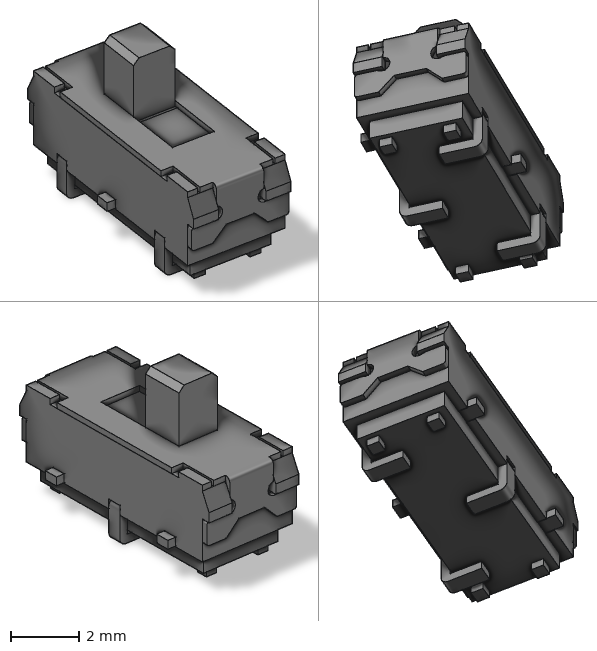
import cadquery as cq
import math


housing_length = 7.9
housing_width = 3.5
housing_bottom = 1.05
top_level = 3.65
wall = 0.3

sheet = 0.2
cover_wide_length = 5.15
cover_narrow_width = 2.62
window_length = 3.5
window_width = 1.5
flap_neck_width = 1.7
flap_shoulder = 2.47
flap_bottom = 1.66
flap_corner_radius = 0.1
relief_radius = 0.24
relief_y = 0.88
relief_level = 2.66
flap_notch_top_width = 1.0
flap_notch_height = 0.49

pad_length = 1.07
pad_width = 0.36
lug_reach = 0.3
lug_slope_bottom = 2.85
lug_bottom = 2.5

slider_size = 1.5
slider_top = 5.65
slider_chamfer = 0.2
foot_margin = 0.1
foot_height = 0.5

base_bottom = 0.43
base_cover_over_terminals = 0.3
stud_size = 0.4
stud_bottom = 0.15
stud_x = 3.3
stud_y = 1.0

terminal_pitch = 2.5
terminal_width = 0.5
terminal_thickness = 0.3
terminal_top = 1.38
terminal_bend_radius = 0.25
foot_length = 1.35
stub_reach = 0.3

plate_bottom = top_level - sheet
end_face = housing_length / 2
side_face = housing_width / 2
base_length = housing_length - 2 * wall
base_width = housing_width - 2 * wall
base_top = terminal_top + base_cover_over_terminals
slider_x = (slider_size - window_length) / 2
foot_bottom = plate_bottom - foot_height
foot_size = slider_size + 2 * foot_margin
terminal_places = [(-terminal_pitch, 1), (0, -1), (terminal_pitch, 1)]


def block(length, width, bottom, top, x=0, y=0):
    """Box centred on (x, y) between two Z levels."""
    return cq.Workplane("XY", origin=(x, y, bottom)).box(
        length, width, top - bottom, centered=(True, True, False)
    )


def slider_foot():
    return block(foot_size, foot_size, foot_bottom, plate_bottom, slider_x)


def base_block():
    return block(base_length, base_width, base_bottom, base_top)


def end_lug(end, side):
    """Sloped catch standing out from one end of the housing, beside the flap neck."""
    lug_width = (housing_width - flap_neck_width) / 2
    inner_y = flap_neck_width / 2 if side > 0 else -side_face
    outer_x = end_face + lug_reach
    profile = [
        (end * end_face, plate_bottom),
        (end * outer_x, lug_slope_bottom),
        (end * outer_x, lug_bottom),
        (end * end_face, lug_bottom),
    ]
    return cq.Workplane("XZ", origin=(0, inner_y, 0)).polyline(profile).close().extrude(-lug_width)


def make_housing():
    body = block(housing_length, housing_width, housing_bottom, plate_bottom)
    for end in (-1, 1):
        for side in (-1, 1):
            pad_x = end * (end_face - pad_length / 2)
            pad_y = side * (side_face - pad_width / 2)
            body = body.union(block(pad_length, pad_width, plate_bottom, top_level, pad_x, pad_y))
            body = body.union(end_lug(end, side))
    body = body.cut(slider_foot()).cut(base_block())
    for x, _ in terminal_places:
        wall_slot = block(terminal_width, housing_width, housing_bottom, terminal_top, x)
        body = body.cut(wall_slot)
    return body


def flap_bend_envelope(end):
    """Side profile of a flap whose top outer edge is rounded by the full sheet thickness."""
    inner_x = end * end_face
    outer_x = end * (end_face + sheet)
    bend_middle = (end * (end_face + sheet * math.sqrt(0.5)), plate_bottom + sheet * math.sqrt(0.5))
    return (
        cq.Workplane("XZ", origin=(0, side_face, 0))
        .moveTo(inner_x, flap_bottom)
        .lineTo(outer_x, flap_bottom)
        .lineTo(outer_x, plate_bottom)
        .threePointArc(bend_middle, (inner_x, top_level))
        .close()
        .extrude(housing_width)
    )


def make_flap(end):
    """End flap: narrow neck, wide lower part, trapezoid notch below and round reliefs."""
    half_neck = flap_neck_width / 2
    half_notch_top = flap_notch_top_width / 2
    half_notch_bottom = half_notch_top + flap_notch_height
    outline = [
        (-half_neck, top_level),
        (-half_neck, flap_shoulder),
        (-side_face, flap_shoulder),
        (-side_face, flap_bottom),
        (-half_notch_bottom, flap_bottom),
        (-half_notch_top, flap_bottom + flap_notch_height),
        (half_notch_top, flap_bottom + flap_notch_height),
        (half_notch_bottom, flap_bottom),
        (side_face, flap_bottom),
        (side_face, flap_shoulder),
        (half_neck, flap_shoulder),
        (half_neck, top_level),
    ]
    inner_x = end * end_face
    plane = cq.Workplane("YZ", origin=(inner_x, 0, 0))
    flap = plane.polyline(outline).close().extrude(end * sheet)
    flap = flap.edges("|X").edges("<Y or >Y").fillet(flap_corner_radius)
    reliefs = plane.pushPoints([(-relief_y, relief_level), (relief_y, relief_level)])
    flap = flap.cut(reliefs.circle(relief_radius).extrude(end * sheet))
    return flap.intersect(flap_bend_envelope(end))


def make_cover():
    plate = block(cover_wide_length, housing_width, plate_bottom, top_level)
    plate = plate.union(block(housing_length, cover_narrow_width, plate_bottom, top_level))
    plate = plate.cut(block(window_length, window_width, plate_bottom, top_level))
    for end in (-1, 1):
        plate = plate.union(make_flap(end))
    return plate


def make_slider():
    knob = block(slider_size, slider_size, plate_bottom, slider_top, slider_x)
    knob = knob.edges("|X and >Z").chamfer(slider_chamfer)
    return knob.union(slider_foot())


def make_terminal(x, stub_side):
    """Flat strip with a straight stub on stub_side and a bent leg and foot on the other side."""
    stub_end = stub_side * (side_face + stub_reach)
    leg_outer = -stub_side * side_face
    leg_inner = -stub_side * (side_face - terminal_thickness)
    foot_tip = -stub_side * (side_face - foot_length)
    strip_bottom = terminal_top - terminal_thickness
    profile = [
        (stub_end, terminal_top),
        (leg_outer, terminal_top),
        (leg_outer, 0),
        (foot_tip, 0),
        (foot_tip, terminal_thickness),
        (leg_inner, terminal_thickness),
        (leg_inner, strip_bottom),
        (stub_end, strip_bottom),
    ]
    strip = cq.Workplane("YZ", origin=(x - terminal_width / 2, 0, 0))
    strip = strip.polyline(profile).close().extrude(terminal_width)
    outer_bends = "<Y" if stub_side > 0 else ">Y"
    return strip.faces(outer_bends).edges("|X").fillet(terminal_bend_radius)


def make_base(terminals):
    """Plug closing the housing, with four studs below and a channel for each terminal."""
    body = base_block()
    for x in (-stud_x, stud_x):
        for y in (-stud_y, stud_y):
            body = body.union(block(stud_size, stud_size, stud_bottom, base_bottom, x, y))
    for terminal in terminals:
        body = body.cut(terminal)
    return body


housing = make_housing()
cover = make_cover()
slider = make_slider()
terminals = [make_terminal(x, stub_side) for x, stub_side in terminal_places]
base = make_base(terminals)

result = cq.Compound.makeCompound(
    [housing.val(), cover.val(), slider.val(), base.val()] + [terminal.val() for terminal in terminals]
)